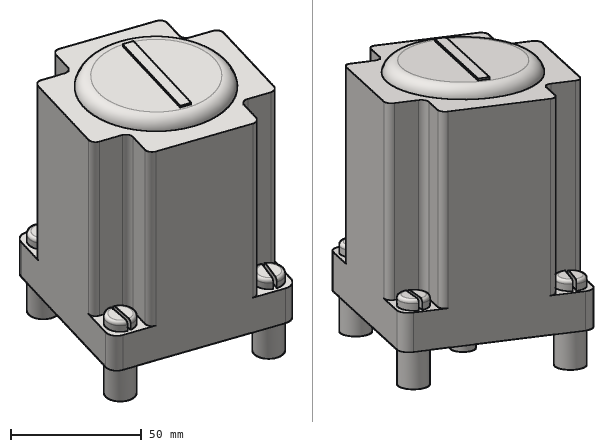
import cadquery as cq

side = 80.0
flange_height = 16.0
flange_corner_radius = 5.0
notch_size = 16.0
notch_radius = 3.1

cap_height = 5.0
cap_radius = 31.3
cap_rim_radius = 6.2

strip_length = 48.0
strip_width = 4.7
strip_height = 0.8
strip_offset = 0.4

shank_length = 16.0
shaft_diameter = 10.0
screw_diameter = 12.7
screw_inset = 8.0
head_height = 4.5
head_edge_radius = 1.5
slot_width = 1.4
slot_angle = 5

flange_bottom = shank_length
flange_top = flange_bottom + flange_height
housing_top = flange_top + side
cap_top = housing_top + cap_height


def make_flange():
    plate = cq.Workplane("XY", origin=(0, 0, flange_bottom)).rect(side, side).extrude(flange_height)
    return plate.edges("|Z").fillet(flange_corner_radius)


def make_housing():
    """Cross-shaped column: a square with a square notch in every corner."""
    arm_width = side - 2 * notch_size
    base = cq.Workplane("XY", origin=(0, 0, flange_top))
    column = base.rect(side, arm_width).extrude(side)
    column = column.union(base.rect(arm_width, side).extrude(side))
    return column.edges("|Z").fillet(notch_radius)


def make_cap():
    cap_bottom = cap_top - cap_rim_radius
    profile = (
        cq.Workplane("XZ")
        .moveTo(0, cap_bottom)
        .lineTo(cap_radius, cap_bottom)
        .radiusArc((cap_radius - cap_rim_radius, cap_top), -cap_rim_radius)
        .lineTo(0, cap_top)
        .close()
    )
    return profile.revolve(360, (0, 0, 0), (0, 1, 0))


def make_name_strip():
    base = cq.Workplane("XY", origin=(0, strip_offset, cap_top))
    return base.rect(strip_length, strip_width).extrude(strip_height)


def make_shaft():
    return cq.Workplane("XY").circle(shaft_diameter / 2).extrude(flange_top)


def make_screw(x, y, angle):
    """Screw through the flange; its driver slot runs the full depth of the head."""
    radius = screw_diameter / 2
    shank = cq.Workplane("XY").circle(radius).extrude(flange_top)
    head_base = cq.Workplane("XY", origin=(0, 0, flange_top))
    head = head_base.circle(radius).extrude(head_height).faces(">Z").edges().fillet(head_edge_radius)
    slot = head_base.rect(2 * screw_diameter, slot_width).extrude(head_height)
    slotted_head = head.cut(slot.rotate((0, 0, 0), (0, 0, 1), angle))
    return shank.union(slotted_head).translate((x, y, 0))


result = make_flange().union(make_housing()).union(make_cap()).union(make_name_strip()).union(make_shaft())

screw_position = side / 2 - screw_inset
for x_sign in (-1, 1):
    for y_sign in (-1, 1):
        tilt = -x_sign * y_sign * slot_angle
        result = result.union(make_screw(x_sign * screw_position, y_sign * screw_position, tilt))